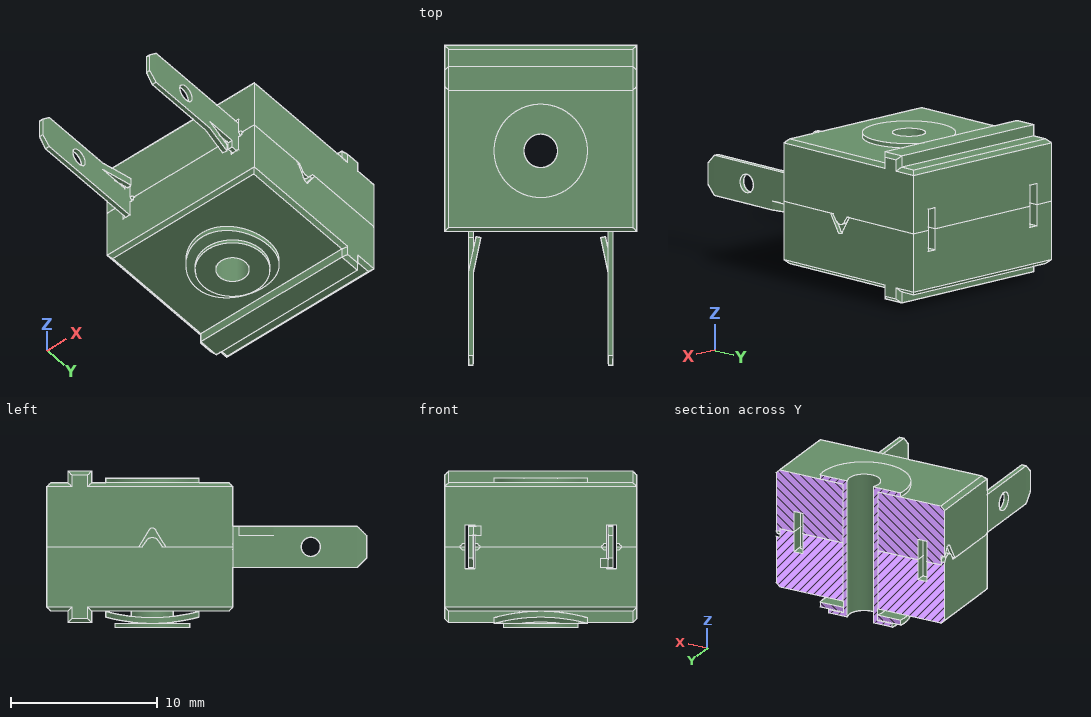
import cadquery as cq
import math


HOUSING_WIDTH = 13.12
HOUSING_FRONT = -5.5
HOUSING_BACK = 7.2
HALF_HEIGHT = 4.39
EDGE_CHAMFER = 0.28
HOUSING_LENGTH = HOUSING_BACK - HOUSING_FRONT
HOUSING_MIDDLE = (HOUSING_BACK + HOUSING_FRONT) / 2
SIDE_X = HOUSING_WIDTH / 2

RIB_HEIGHT = 0.79
RIB_WIDTH = 1.64
RIB_SETBACK = 1.45
RIB_ROOT = 0.65

KEY_DEPTH = 0.28
RIDGE_HEIGHT = 0.63
RIDGE_HALF_BASE = 0.7
RIDGE_SHOULDER = (0.33, 0.52)
GROOVE_HEIGHT = 1.29
GROOVE_HALF_BASE = 0.92
GROOVE_SHOULDER = (0.26, 1.07)

BLADE_THICKNESS = 0.35
BLADE_HEIGHT = 2.84
BLADE_X = 4.75
BLADE_PROTRUSION = 9.12
BLADE_INSERTION = -HOUSING_FRONT
TIP_CHAMFER = 0.65
TIP_TAPER = 0.02
BLADE_HOLE_DIAMETER = 1.29
BLADE_HOLE_DISTANCE = 5.3
LANCE_HEIGHT = 0.63
LANCE_LENGTH = 2.49
LANCE_WINDOW_START = 0.41
LANCE_WINDOW_END = 2.77
LANCE_ANGLE = 12
TIP_Y = HOUSING_FRONT - BLADE_PROTRUSION

SLOT_WIDTH = 0.65
SLOT_HEIGHT = 2.97
SLOT_X = 4.82
MOUTH_HALF_WIDTH = 0.72
MOUTH_HALF_FLAT = 0.5
MOUTH_HALF_HEIGHT = 0.22
MOUTH_DEPTH = 0.22

RIVET_BORE_RADIUS = 1.14
BARREL_RADIUS = 1.45
FLANGE_RADIUS = 3.19
FLANGE_THICKNESS = 0.3
HEAD_RADIUS = 2.55
HEAD_THICKNESS = 0.28
HEAD_BOTTOM = -5.5
HEAD_TOP = HEAD_BOTTOM + HEAD_THICKNESS

WASHER_RADIUS = FLANGE_RADIUS
WASHER_THICKNESS = 0.4
WASHER_GAP = -HALF_HEIGHT - HEAD_TOP
WASHER_SAG = WASHER_GAP - WASHER_THICKNESS


def rounded_vee(half_base, shoulder, height, start_x):
    """Prism along +X, KEY_DEPTH long, with a rounded V outline that points up from Z = 0."""
    shoulder_y, shoulder_z = shoulder
    return (
        cq.Workplane("YZ", origin=(start_x, 0, 0))
        .moveTo(-half_base, 0)
        .lineTo(-shoulder_y, shoulder_z)
        .threePointArc((0, height), (shoulder_y, shoulder_z))
        .lineTo(half_base, 0)
        .close()
        .extrude(KEY_DEPTH)
    )


def half_turn(body):
    """Turn a body by 180 degrees about the Y axis."""
    return body.rotate((0, 0, 0), (0, 1, 0), 180)


def make_rib():
    """Rib below the outer face of the lower half, chamfered around both ends."""
    height = RIB_ROOT + RIB_HEIGHT
    rib = (
        cq.Workplane("XY")
        .box(HOUSING_WIDTH, RIB_WIDTH, height, centered=(True, True, False))
        .translate((0, HOUSING_BACK - RIB_SETBACK - RIB_WIDTH / 2, -HALF_HEIGHT - RIB_HEIGHT))
    )
    return rib.edges("(|Z) or (<Z and |Y)").chamfer(EDGE_CHAMFER)


def make_slot(side):
    """Slot through the whole housing length with the wedge-shaped recess at its front mouth."""
    slot = cq.Workplane("XY").box(SLOT_WIDTH, HOUSING_LENGTH, SLOT_HEIGHT)
    slot = slot.translate((side * SLOT_X, HOUSING_MIDDLE, 0))
    outline = (
        cq.Workplane("XZ", origin=(side * SLOT_X, HOUSING_FRONT, 0))
        .polyline([
            (-MOUTH_HALF_WIDTH, 0),
            (-MOUTH_HALF_FLAT, MOUTH_HALF_HEIGHT),
            (MOUTH_HALF_FLAT, MOUTH_HALF_HEIGHT),
            (MOUTH_HALF_WIDTH, 0),
            (MOUTH_HALF_FLAT, -MOUTH_HALF_HEIGHT),
            (-MOUTH_HALF_FLAT, -MOUTH_HALF_HEIGHT),
        ])
        .close()
        .extrude(-MOUTH_DEPTH)
    )
    wedge = (
        cq.Workplane("YZ", origin=(side * SLOT_X - MOUTH_HALF_WIDTH, HOUSING_FRONT, 0))
        .polyline([(0, -MOUTH_HALF_HEIGHT), (MOUTH_DEPTH, 0), (0, MOUTH_HALF_HEIGHT)])
        .close()
        .extrude(2 * MOUTH_HALF_WIDTH)
    )
    return slot.union(outline.intersect(wedge))


def make_housing_half():
    """Lower half: block with rib, rivet hole, blade slots, ridge on -X and groove on +X."""
    half = (
        cq.Workplane("XY")
        .box(HOUSING_WIDTH, HOUSING_LENGTH, HALF_HEIGHT)
        .translate((0, HOUSING_MIDDLE, -HALF_HEIGHT / 2))
        .faces("<Z")
        .edges()
        .chamfer(EDGE_CHAMFER)
        .union(make_rib())
    )
    ridge = rounded_vee(RIDGE_HALF_BASE, RIDGE_SHOULDER, RIDGE_HEIGHT, -SIDE_X)
    groove = half_turn(rounded_vee(GROOVE_HALF_BASE, GROOVE_SHOULDER, GROOVE_HEIGHT, -SIDE_X))
    barrel_hole = cq.Workplane("XY").circle(BARREL_RADIUS).extrude(-HALF_HEIGHT)
    half = half.union(ridge).cut(groove).cut(barrel_hole)
    for side in (-1, 1):
        half = half.cut(make_slot(side))
    return half


def make_terminal():
    """Terminal on the -X side: blade with tapered tip, hole and a lance bent towards +X."""
    half_thickness = BLADE_THICKNESS / 2
    back_y = HOUSING_FRONT + BLADE_INSERTION
    taper_y = TIP_Y + TIP_CHAMFER
    half_tip = half_thickness - TIP_TAPER
    blade = (
        cq.Workplane("XY", origin=(-BLADE_X, 0, -BLADE_HEIGHT / 2))
        .polyline([
            (-half_thickness, back_y),
            (-half_thickness, taper_y),
            (-half_tip, TIP_Y),
            (half_tip, TIP_Y),
            (half_thickness, taper_y),
            (half_thickness, back_y),
        ])
        .close()
        .extrude(BLADE_HEIGHT)
    )
    blade = blade.faces("<Y").edges("|X").chamfer(TIP_CHAMFER)

    hole = (
        cq.Workplane("YZ", origin=(-BLADE_X - BLADE_THICKNESS, 0, 0))
        .center(HOUSING_FRONT - BLADE_HOLE_DISTANCE, 0)
        .circle(BLADE_HOLE_DIAMETER / 2)
        .extrude(2 * BLADE_THICKNESS)
    )

    lance_root_y = HOUSING_FRONT - LANCE_WINDOW_END
    lance_z = BLADE_HEIGHT / 2 - LANCE_HEIGHT
    window_length = LANCE_WINDOW_END - LANCE_WINDOW_START
    strip_origin = cq.Workplane("XY", origin=(-BLADE_X, lance_root_y, lance_z))
    window = strip_origin.box(BLADE_THICKNESS, window_length, LANCE_HEIGHT, centered=(True, False, False))
    flat_lance = strip_origin.box(BLADE_THICKNESS, LANCE_LENGTH, LANCE_HEIGHT, centered=(True, False, False))
    hinge_x = -BLADE_X - half_thickness
    lance = flat_lance.rotate((hinge_x, lance_root_y, 0), (hinge_x, lance_root_y, 1), -LANCE_ANGLE)
    bend_angle = math.radians(LANCE_ANGLE)
    bend = (
        cq.Workplane("XY", origin=(hinge_x, lance_root_y, lance_z))
        .polyline([
            (0, 0),
            (BLADE_THICKNESS, 0),
            (BLADE_THICKNESS * math.cos(bend_angle), -BLADE_THICKNESS * math.sin(bend_angle)),
        ])
        .close()
        .extrude(LANCE_HEIGHT)
    )
    return blade.cut(hole).cut(window).union(bend).union(lance)


def make_rivet():
    """Hollow rivet: wide flange on the upper half, barrel, and head under the washer."""
    barrel = (
        cq.Workplane("XY", origin=(0, 0, HEAD_BOTTOM))
        .circle(BARREL_RADIUS)
        .extrude(HALF_HEIGHT - HEAD_BOTTOM)
    )
    flange = (
        cq.Workplane("XY", origin=(0, 0, HALF_HEIGHT))
        .circle(FLANGE_RADIUS)
        .extrude(FLANGE_THICKNESS)
    )
    head = cq.Workplane("XY", origin=(0, 0, HEAD_BOTTOM)).circle(HEAD_RADIUS).extrude(HEAD_THICKNESS)
    return barrel.union(flange).union(head).faces(">Z").workplane().circle(RIVET_BORE_RADIUS).cutThruAll()


def make_washer():
    """Ring of even thickness, curved so that its middle rests on the head, its edges on the housing."""
    inner_radius = (WASHER_RADIUS**2 + WASHER_SAG**2) / (2 * WASHER_SAG)
    outer_radius = inner_radius + WASHER_THICKNESS
    axis_z = HEAD_TOP + outer_radius
    shell = (
        cq.Workplane("YZ", origin=(-WASHER_RADIUS, 0, 0))
        .center(0, axis_z)
        .circle(outer_radius)
        .circle(inner_radius)
        .extrude(2 * WASHER_RADIUS)
    )
    ring = (
        cq.Workplane("XY", origin=(0, 0, HEAD_TOP))
        .circle(WASHER_RADIUS)
        .circle(BARREL_RADIUS)
        .extrude(WASHER_GAP)
    )
    return shell.intersect(ring)


lower_half = make_housing_half()
left_terminal = make_terminal()

housing_halves = []
terminals = []
for is_turned in (False, True):
    housing_halves.append(half_turn(lower_half) if is_turned else lower_half)
    terminals.append(half_turn(left_terminal) if is_turned else left_terminal)
rivet = make_rivet()
washer = make_washer()

result = cq.Compound.makeCompound([
    *[half.val() for half in housing_halves],
    *[terminal.val() for terminal in terminals],
    rivet.val(),
    washer.val(),
])